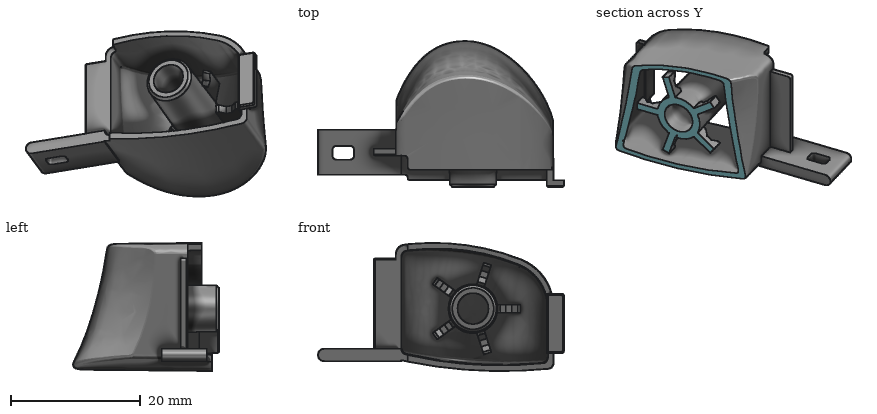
import cadquery as cq
import math


WALL = 0.87
HOOD_LEFT = -11.98
HOOD_RIGHT = 12.47
HOOD_DEPTH = 24.7
TOP_LEFT_Z = 9.75
TOP_CREST = (-6.25, 10.2)
SHOULDER_START = (7.38, 7.65)
SHOULDER_END_Z = 0.35
SHOULDER_SLOPE = math.radians(20.5)
BOTTOM_LEFT_Z = -7.8
BOTTOM_MIDDLE = (0.0, -9.55)
BOTTOM_RIGHT_Z = -9.25
DRAFT_ANGLE = 0.6

HOOD_CORNER_RADII = (1.52, 1.0, 0.95)
CAVITY_CORNER_RADII = (0.95, 0.95, 0.95)

BACK_FILLET = 0.6
CAVITY_BACK_FILLET = 0.5

BACK_STATIONS = (-12.15, -10.85, -5.7, -1.3, 5.7, 12.62)
BACK_SECTIONS = (
    (-10.25, (13.3, 16.42, 21.6, 22.5, 19.7, 8.6)),
    (-1.15, (9.3, 12.15, 17.68, 18.55, 16.1, 6.58)),
    (10.65, (8.35, 10.45, 15.15, 16.05, 14.0, 5.7)),
)
SECTION_FRONT_Y = -7.6

UPPER_RIM_Y = 1.6
LEFT_RIM_Y = 3.75
RIM_STEP_X = -10.1
RIM_STEP_RADIUS = 0.45

ARM_TIP_X = -23.95
ARM_FRONT_Y = 0.8
ARM_WIDTH = 7.0
ARM_TOP_Z = -6.2
ARM_THICKNESS = 1.95
SLOT_LENGTH = 3.27
SLOT_WIDTH = 2.1
SLOT_CORNER = 0.57
SLOT_X = -20.05
SLOT_Y = 4.22

TAB_THICKNESS = 1.05
TAB_EDGE = 0.23
TAB_CORNER = 0.38
LEFT_TAB_X = -15.35
LEFT_TAB_TOP_Z = 7.75
RIGHT_TAB_X = 14.05
RIGHT_TAB_INNER_X = 11.35
RIGHT_TAB_WALL = 1.03
RIGHT_TAB_BOTTOM_Z = -6.9
RIGHT_TAB_TOP_Z = 2.32

POST_FRONT_Y = -TAB_THICKNESS
POST_RADIUS = 3.6
POST_BASE_RADIUS = 3.88
POST_CHAMFER = 0.4
BORE_RADIUS = 2.4
RIB_COUNT = 5
RIB_WIDTH = 1.2
RIB_RADIUS = 7.25
RIB_FRONT_Y = 10.72
NOTCH_DEPTH = 0.87
NOTCH_FLOOR_START = 5.05
NOTCH_FLOOR_END = 6.0


def box(x_min, x_max, y_min, y_max, z_min, z_max):
    size = (x_max - x_min, y_max - y_min, z_max - z_min)
    return cq.Workplane("XY").box(*size, centered=False).translate((x_min, y_min, z_min))


def rounded_corner(outline, x, z, radius):
    """Round the corner of an XZ outline which lies nearest to the given place."""
    corner = cq.selectors.NearestToPointSelector((x, 0, z))
    return outline.fillet2D(radius, cq.Workplane(outline).vertices(corner).vals())


def hood_outline(inset, corner_radii):
    """Outline at the front rim in X and Z, moved inwards by the inset."""
    left = HOOD_LEFT + inset
    right = HOOD_RIGHT - inset
    top_left = (left, TOP_LEFT_Z - inset)
    bottom_left = (left, BOTTOM_LEFT_Z + inset)
    bottom_right = (right, BOTTOM_RIGHT_Z + inset)
    shoulder_start = (
        SHOULDER_START[0] - inset * math.sin(SHOULDER_SLOPE),
        SHOULDER_START[1] - inset * math.cos(SHOULDER_SLOPE),
    )
    outline = (
        cq.Workplane("XZ")
        .moveTo(*bottom_left)
        .lineTo(*top_left)
        .threePointArc((TOP_CREST[0], TOP_CREST[1] - inset), shoulder_start)
        .tangentArcPoint((right, SHOULDER_END_Z), relative=False)
        .lineTo(*bottom_right)
        .threePointArc((BOTTOM_MIDDLE[0], BOTTOM_MIDDLE[1] + inset), bottom_left)
        .close()
        .val()
    )
    for (x, z), radius in zip((top_left, bottom_left, bottom_right), corner_radii):
        outline = rounded_corner(outline, x, z, radius)
    return outline


def hood_prism(outline):
    """Extrude an outline towards +Y, narrowing with the hood's draft."""
    return cq.Workplane("XZ").add(outline).toPending().extrude(-HOOD_DEPTH, taper=DRAFT_ANGLE)


def back_volume(inset):
    """Volume in front of the curved back surface, moved inwards by the inset."""
    shrink = 1 - inset / HOOD_RIGHT
    sections = cq.Workplane("XY")
    level = 0.0
    for height, depths in BACK_SECTIONS:
        points = [(x * shrink, y - inset) for x, y in zip(BACK_STATIONS, depths)]
        sections = (
            sections.workplane(offset=height - level)
            .moveTo(points[0][0], SECTION_FRONT_Y)
            .lineTo(*points[0])
            .spline(points[1:], includeCurrent=True)
            .lineTo(points[-1][0], SECTION_FRONT_Y)
            .close()
        )
        level = height
    return sections.loft()


def hood_volume(inset, corner_radii, back_fillet):
    """Solid hood, moved inwards by the inset, with a rounded edge around its back surface."""
    body = hood_prism(hood_outline(inset, corner_radii)).intersect(back_volume(inset))
    return body.faces(">Y").edges().fillet(back_fillet)


def rim_cut(front, step_depth, left, z_min, z_max):
    """Space in front of a rim which steps back to the left, with both step corners rounded."""
    back = front + step_depth
    start = 2 * ARM_TIP_X
    outline = (
        cq.Workplane("XY")
        .workplane(offset=z_min)
        .polyline([(start, -HOOD_DEPTH), (start, back), (left, back), (left, front),
                   (-start, front), (-start, -HOOD_DEPTH)])
        .close()
    )
    radius = min(RIM_STEP_RADIUS, 0.45 * step_depth)
    cutter = outline.extrude(z_max - z_min)
    step_edges = cq.selectors.BoxSelector(
        (left - 0.05, front - 0.05, z_min - 0.38), (left + 0.05, back + 0.05, z_max + 0.38)
    )
    return cutter.edges("|Z").edges(step_edges).fillet(radius)


def arm():
    """Flat arm with a rounded tip and a rounded slot."""
    end_x = HOOD_LEFT + WALL
    plate = box(ARM_TIP_X, end_x, ARM_FRONT_Y, ARM_FRONT_Y + ARM_WIDTH,
                ARM_TOP_Z - ARM_THICKNESS, ARM_TOP_Z)
    plate = plate.edges("|Y and <X").fillet(0.49 * ARM_THICKNESS)
    slot = (
        cq.Workplane("XY")
        .center(SLOT_X, SLOT_Y)
        .rect(SLOT_LENGTH, SLOT_WIDTH)
        .extrude(-HOOD_DEPTH)
        .edges("|Z")
        .fillet(SLOT_CORNER)
    )
    return plate.cut(slot)


def left_tab():
    """Upright tab on the left wall, standing on the arm."""
    tab = box(LEFT_TAB_X, HOOD_LEFT + WALL / 2, LEFT_RIM_Y, LEFT_RIM_Y + TAB_THICKNESS,
              ARM_TOP_Z, LEFT_TAB_TOP_Z)
    tab = tab.edges("|Y and <X and >Z").fillet(TAB_CORNER)
    return tab.faces("<Y").edges("<X or >Z").chamfer(TAB_EDGE)


def right_tab():
    """L-shaped tab: a tongue to the right, on a strip of wall which runs forward past the rim."""
    tongue = box(RIGHT_TAB_INNER_X, RIGHT_TAB_X, POST_FRONT_Y, POST_FRONT_Y + TAB_THICKNESS,
                 RIGHT_TAB_BOTTOM_Z, RIGHT_TAB_TOP_Z)
    tongue = tongue.edges("|Y and >X").fillet(TAB_CORNER)
    tongue = tongue.faces("<Y").edges().chamfer(TAB_EDGE)
    strip = box(RIGHT_TAB_INNER_X, RIGHT_TAB_INNER_X + RIGHT_TAB_WALL, -TAB_THICKNESS / 2,
                UPPER_RIM_Y + 0.38, RIGHT_TAB_BOTTOM_Z, RIGHT_TAB_TOP_Z)
    return tongue.union(strip)


def post():
    """Drafted round post, chamfered at the front."""
    outline = [
        (0, POST_FRONT_Y),
        (POST_RADIUS - POST_CHAMFER, POST_FRONT_Y),
        (POST_RADIUS, POST_FRONT_Y + POST_CHAMFER),
        (POST_BASE_RADIUS, HOOD_DEPTH),
        (0, HOOD_DEPTH),
    ]
    return cq.Workplane("XY").polyline(outline).close().revolve(360, (0, 0), (0, 1))


def rib():
    """Radial rib along +X, with a 45-degree notch in its front edge."""
    floor_y = RIB_FRONT_Y + NOTCH_DEPTH
    outline = [
        (BORE_RADIUS, RIB_FRONT_Y),
        (NOTCH_FLOOR_START - NOTCH_DEPTH, RIB_FRONT_Y),
        (NOTCH_FLOOR_START, floor_y),
        (NOTCH_FLOOR_END, floor_y),
        (NOTCH_FLOOR_END + NOTCH_DEPTH, RIB_FRONT_Y),
        (RIB_RADIUS, RIB_FRONT_Y),
        (RIB_RADIUS, HOOD_DEPTH),
        (BORE_RADIUS, HOOD_DEPTH),
    ]
    return cq.Workplane("XY").polyline(outline).close().extrude(RIB_WIDTH / 2, both=True)


outer = hood_volume(0, HOOD_CORNER_RADII, BACK_FILLET)
cavity = hood_volume(WALL, CAVITY_CORNER_RADII, CAVITY_BACK_FILLET)
hood = outer.cut(cavity)
hood = hood.cut(rim_cut(UPPER_RIM_Y, LEFT_RIM_Y - UPPER_RIM_Y, RIM_STEP_X, ARM_TOP_Z, HOOD_DEPTH))
hood = hood.cut(rim_cut(0, ARM_FRONT_Y, RIM_STEP_X, -HOOD_DEPTH, ARM_TOP_Z))

core = post()
for index in range(RIB_COUNT):
    core = core.union(rib().rotate((0, 0, 0), (0, 1, 0), index * 360 / RIB_COUNT))
core = core.intersect(back_volume(WALL / 2))

bore = cq.Workplane("XZ").workplane(offset=HOOD_DEPTH).circle(BORE_RADIUS).extrude(-2 * HOOD_DEPTH)
core = core.cut(bore)

result = hood.union(core).union(arm()).union(left_tab()).union(right_tab())